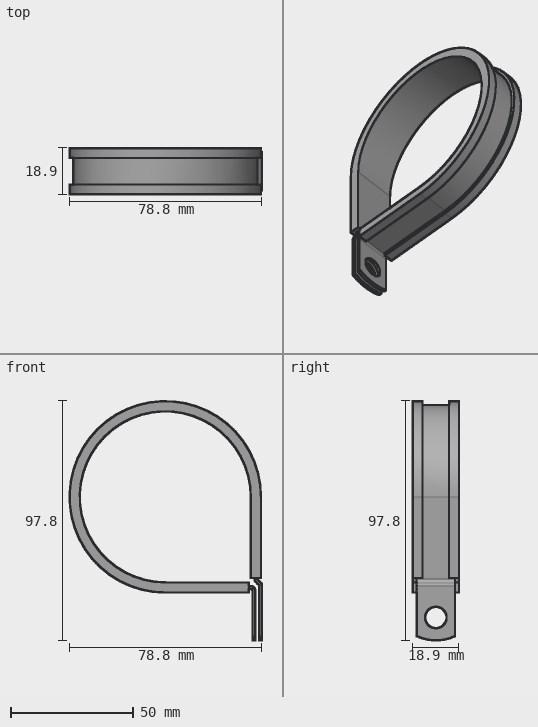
import cadquery as cq
import math


inner_radius = 34.9
strap_thickness = 1.25
cushion_floor = 1.5
cushion_lip = 1.5
cushion_width = 18.92
groove_width = 10.9
strap_width = 15.7

strap_inner_radius = inner_radius + cushion_floor
strap_outer_radius = strap_inner_radius + strap_thickness
strap_mid_radius = (strap_inner_radius + strap_outer_radius) / 2
outer_radius = strap_outer_radius + cushion_lip

side_leg_end_z = -33.2
bottom_leg_end_x = 34.2

tab_bottom_z = -58.7
tab_gap = 1.5
outer_tab_face_x = 39.61
outer_tab_x = outer_tab_face_x - strap_thickness / 2
inner_tab_x = outer_tab_x - strap_thickness - tab_gap
tab_end_radius = 18.6
hole_diameter = 8.65
hole_z = -49.3

first_bend_drop = 0.25
jog_start_z = side_leg_end_z - first_bend_drop
jog_angle = math.radians(45)
jog_bend_radius = 1.15
corner_bend_radius = 1.5


def loop_band(inner, outer, width):
    """Three-quarter ring with one straight leg down (+X side) and one along +X (bottom)."""
    diagonal = math.sqrt(0.5)
    return (
        cq.Workplane("XZ")
        .moveTo(outer, side_leg_end_z)
        .lineTo(outer, 0)
        .threePointArc((-outer * diagonal, outer * diagonal), (0, -outer))
        .lineTo(bottom_leg_end_x, -outer)
        .lineTo(bottom_leg_end_x, -inner)
        .lineTo(0, -inner)
        .threePointArc((-inner * diagonal, inner * diagonal), (inner, 0))
        .lineTo(inner, side_leg_end_z)
        .close()
        .extrude(width / 2, both=True)
    )


def cushioned_loop():
    loop = loop_band(inner_radius, outer_radius, cushion_width)
    groove = loop_band(strap_outer_radius, outer_radius, groove_width)
    return loop.cut(groove)


def outer_tab():
    """Tab below the side leg, stepped outward by two opposite bends."""
    half = strap_thickness / 2
    step = outer_tab_x - strap_mid_radius
    slope_length = (step - 2 * jog_bend_radius * (1 - math.cos(jog_angle))) / math.sin(jog_angle)
    jog_height = 2 * jog_bend_radius * math.sin(jog_angle) + slope_length * math.cos(jog_angle)
    jog_end_z = jog_start_z - jog_height
    tight = jog_bend_radius - half
    wide = jog_bend_radius + half

    def first_arc(radius, angle):
        centre_x = strap_mid_radius + jog_bend_radius
        return (centre_x - radius * math.cos(angle), jog_start_z - radius * math.sin(angle))

    def second_arc(radius, angle):
        centre_x = outer_tab_x - jog_bend_radius
        return (centre_x + radius * math.cos(angle), jog_end_z + radius * math.sin(angle))

    profile = (
        cq.Workplane("XZ")
        .moveTo(strap_inner_radius, side_leg_end_z)
        .lineTo(strap_inner_radius, jog_start_z)
        .threePointArc(first_arc(wide, jog_angle / 2), first_arc(wide, jog_angle))
        .lineTo(*second_arc(tight, jog_angle))
        .threePointArc(second_arc(tight, jog_angle / 2), second_arc(tight, 0))
        .lineTo(outer_tab_x - half, tab_bottom_z)
        .lineTo(outer_tab_x + half, tab_bottom_z)
        .lineTo(outer_tab_x + half, jog_end_z)
        .threePointArc(second_arc(wide, jog_angle / 2), second_arc(wide, jog_angle))
        .lineTo(*first_arc(tight, jog_angle))
        .threePointArc(first_arc(tight, jog_angle / 2), first_arc(tight, 0))
        .lineTo(strap_outer_radius, side_leg_end_z)
        .close()
    )
    return profile.extrude(strap_width / 2, both=True)


def inner_tab():
    """Tab beyond the bottom leg, turned down through a quarter bend."""
    half = strap_thickness / 2
    centre_x = inner_tab_x - corner_bend_radius
    centre_z = -strap_mid_radius - corner_bend_radius

    def bend_middle(radius):
        reach = radius * math.sqrt(0.5)
        return (centre_x + reach, centre_z + reach)

    profile = (
        cq.Workplane("XZ")
        .moveTo(bottom_leg_end_x, -strap_inner_radius)
        .lineTo(centre_x, -strap_inner_radius)
        .threePointArc(bend_middle(corner_bend_radius + half), (inner_tab_x + half, centre_z))
        .lineTo(inner_tab_x + half, tab_bottom_z)
        .lineTo(inner_tab_x - half, tab_bottom_z)
        .lineTo(inner_tab_x - half, centre_z)
        .threePointArc(bend_middle(corner_bend_radius - half), (centre_x, -strap_outer_radius))
        .lineTo(bottom_leg_end_x, -strap_outer_radius)
        .close()
    )
    return profile.extrude(strap_width / 2, both=True)


def tab_outline():
    """Block along X with the rounded tab end and the bolt hole, used to trim both tabs."""
    half_width = strap_width / 2
    end_rise = tab_end_radius - math.sqrt(tab_end_radius**2 - half_width**2)
    corner_z = tab_bottom_z + end_rise
    return (
        cq.Workplane("YZ")
        .moveTo(-half_width, 0)
        .lineTo(-half_width, corner_z)
        .threePointArc((0, tab_bottom_z), (half_width, corner_z))
        .lineTo(half_width, 0)
        .close()
        .moveTo(0, hole_z)
        .circle(hole_diameter / 2)
        .extrude(outer_tab_face_x)
    )


tabs = outer_tab().union(inner_tab()).intersect(tab_outline())
result = cushioned_loop().union(tabs)